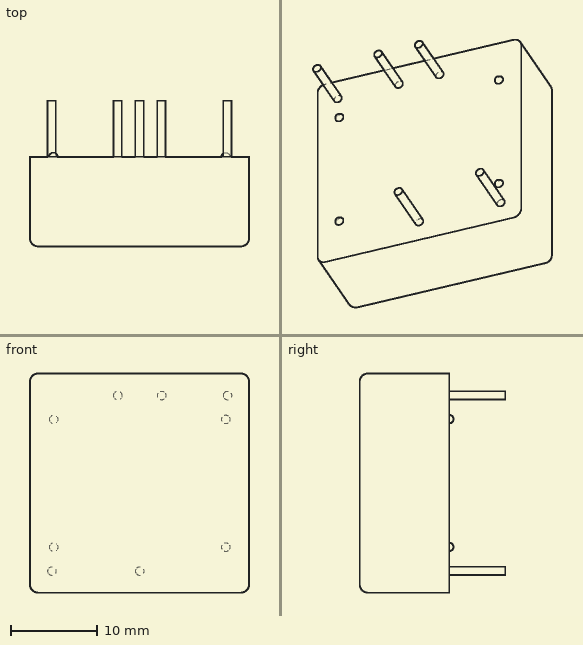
import cadquery as cq

case_size = 25.4
case_depth = 10.4
edge_radius = 1.0

pin_diameter = 1.0
pin_length = 6.5
pin_pitch = 2.55
row_offset = 4 * pin_pitch
upper_pin_columns = (-1, 1, 4)
lower_pin_columns = (-4, 0)

standoff_diameter = 1.0
standoff_x = 9.95
standoff_z = 7.4


def make_case():
    block = cq.Workplane("XY").box(case_size, case_depth, case_size)
    block = block.translate((0, case_depth / 2, 0))
    return block.edges("|Y or <Y").fillet(edge_radius)


def make_pin(x, z):
    face = cq.Workplane("XZ", origin=(x, case_depth, z))
    return face.circle(pin_diameter / 2).extrude(-pin_length)


def make_standoff(x, z):
    return cq.Workplane("XY").sphere(standoff_diameter / 2).translate((x, case_depth, z))


result = make_case()

for column in upper_pin_columns:
    result = result.union(make_pin(column * pin_pitch, row_offset))
for column in lower_pin_columns:
    result = result.union(make_pin(column * pin_pitch, -row_offset))

for x in (-standoff_x, standoff_x):
    for z in (-standoff_z, standoff_z):
        result = result.union(make_standoff(x, z))